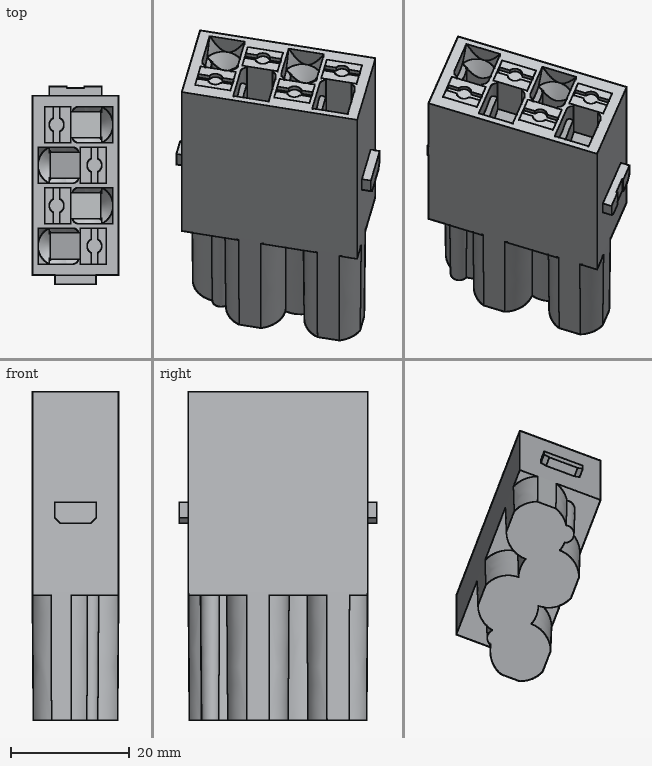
import cadquery as cq
import math

height = 55.45
body_x = 14.6
body_y = 30.3
shoulder_z = 21.6
plate_thickness = 0.55
draft_inset = 0.15

tab_reach = 1.55
tab_bottom_z = 33.2
tab_height = 3.6
tab_chamfer = 0.95
front_tab_width = 7.0
rear_tab_width = 8.85
notch_width = 2.9
notch_depth = 0.2

contact_count = 4
entry_pitch = 6.8
finger_pitch = 6.75

finger_radius = 5.25
finger_offset_x = 2.4
key_radius = 1.65
key_offset_x = 4.65
key_offset_y = {0: -1.3, contact_count - 1: -0.7}

entry_outer_x = 6.3
entry_inner_x = -0.55
entry_half_width = 3.05
entry_depth = 3.25
entry_corner_radius = 1.1
mouth_radius = 3.4
mouth_x = entry_outer_x - mouth_radius
funnel_half_angle = 40.0
chute_half_width = 2.2
chute_outer_x = 4.25

actuator_inner_x = -0.85
actuator_width = 4.4
actuator_length = 10.55
actuator_x = actuator_inner_x - actuator_width / 2
slot_offset_x = -0.15
slot_width = 1.1
slot_eye_diameter = 2.5
slot_depth = 0.85

leaf_angle = 26.0
leaf_thickness = 0.55
leaf_tip_depth = 10.55

entry_floor_z = height - entry_depth
corner_radius_at_top = math.hypot(mouth_radius, entry_half_width)
funnel_slope = 1 / math.tan(math.radians(funnel_half_angle))
funnel_tip_radius = chute_outer_x - mouth_x
funnel_depth = (mouth_radius - funnel_tip_radius) * funnel_slope
ramp_depth = (entry_half_width - chute_half_width) * funnel_slope
ramp_outer_x = mouth_x + math.sqrt(mouth_radius**2 - entry_half_width**2)
leaf_tip_z = height - leaf_tip_depth
leaf_root_z = leaf_tip_z + (chute_outer_x - actuator_inner_x) * math.tan(math.radians(leaf_angle))


def block(x_min, x_max, y_size, z_min, z_max):
    """Box centred on Y = 0."""
    return cq.Workplane("XY").box(x_max - x_min, y_size, z_max - z_min).translate(
        ((x_min + x_max) / 2, 0, (z_min + z_max) / 2)
    )


def cone(x, y, bottom_radius, top_radius, z_min, z_max):
    """Upright truncated cone."""
    return cq.Workplane(
        cq.Solid.makeCone(bottom_radius, top_radius, z_max - z_min, cq.Vector(x, y, z_min))
    )


def row_y(index, pitch):
    """Y of one place in a row of contacts that is centred on the part."""
    return (index - (contact_count - 1) / 2) * pitch


def contact_side(index):
    """+1 where the wire entry is on the +X side, -1 where it is on the -X side."""
    return 1 if index % 2 else -1


def placed(cell_shape, index):
    """A cell shape moved to its contact position and turned to the correct side."""
    turn = 0 if contact_side(index) > 0 else 180
    return cell_shape.rotate((0, 0, 0), (0, 0, 1), turn).translate((0, row_y(index, entry_pitch), 0))


def entry_prism(z_min, z_max):
    """Full outline of the wire entry, rounded at its two inner corners."""
    return (
        block(entry_inner_x, entry_outer_x, 2 * entry_half_width, z_min, z_max)
        .edges("|Z and <X")
        .fillet(entry_corner_radius)
    )


def entry_pocket():
    """Square-mouthed pocket whose outer corners close in conically to the round mouth."""
    corner_cone = cone(mouth_x, 0, mouth_radius, corner_radius_at_top, entry_floor_z, height)
    inner_part = block(entry_inner_x, mouth_x, 2 * entry_half_width, entry_floor_z, height)
    return entry_prism(entry_floor_z, height).intersect(corner_cone.union(inner_part))


def funnel():
    """Cone below the round mouth, with flat ramps along its two sides."""
    funnel_floor_z = entry_floor_z - funnel_depth
    round_part = cone(mouth_x, 0, funnel_tip_radius, mouth_radius, funnel_floor_z, entry_floor_z)
    ramps = (
        cq.Workplane("YZ", origin=(entry_inner_x, 0, 0))
        .moveTo(-entry_half_width, entry_floor_z)
        .lineTo(entry_half_width, entry_floor_z)
        .lineTo(chute_half_width, entry_floor_z - ramp_depth)
        .lineTo(-chute_half_width, entry_floor_z - ramp_depth)
        .close()
        .extrude(ramp_outer_x - entry_inner_x)
    )
    return round_part.union(ramps).intersect(entry_prism(funnel_floor_z, entry_floor_z))


def chute_prism(root_top_z, tip_top_z):
    """Prism across the chute, from the given top edges down to the underside of the leaf."""
    return (
        cq.Workplane("XZ")
        .moveTo(actuator_inner_x, root_top_z)
        .lineTo(chute_outer_x, tip_top_z)
        .lineTo(chute_outer_x, leaf_tip_z - leaf_thickness)
        .lineTo(actuator_inner_x, leaf_root_z - leaf_thickness)
        .close()
        .extrude(chute_half_width, both=True)
    )


def chute():
    """Passage to the leaf: full length below the entry, and a gap beside the actuator above."""
    gap = block(actuator_inner_x, 0, 2 * chute_half_width, entry_floor_z, height)
    return chute_prism(entry_floor_z, entry_floor_z).union(gap)


def actuator_blank():
    """Plain block that fills the actuator's slot in the housing."""
    return block(
        actuator_inner_x - actuator_width, actuator_inner_x, 2 * entry_half_width,
        height - actuator_length, height,
    )


def tab(width):
    """Latch tab on the +Y end face, with its two lower corners chamfered."""
    return (
        cq.Workplane("XY")
        .box(width, tab_reach, tab_height)
        .edges("|Y and <Z")
        .chamfer(tab_chamfer)
        .translate((0, (body_y + tab_reach) / 2, tab_bottom_z + tab_height / 2))
    )


def rear_tab():
    """Wider tab with a shallow notch in its outer face."""
    notch = cq.Workplane("XY").box(notch_width, 2 * notch_depth, tab_height).translate(
        (0, body_y / 2 + tab_reach, tab_bottom_z + tab_height / 2)
    )
    return tab(rear_tab_width).cut(notch)


def front_tab():
    """Narrower tab on the -Y end face."""
    return tab(front_tab_width).mirror("XZ")


def fingers():
    """Staggered round fingers merged in one row, drafted and cut flat at the body's sides."""
    envelope = (
        cq.Workplane("XY", origin=(0, 0, shoulder_z))
        .rect(body_x, body_y)
        .workplane(offset=-shoulder_z)
        .rect(body_x - 2 * draft_inset, body_y - 2 * draft_inset)
        .loft(ruled=True)
    )
    columns = block(-body_x / 2, body_x / 2, body_y, shoulder_z - plate_thickness, shoulder_z)
    for index in range(contact_count):
        x = contact_side(index) * finger_offset_x
        y = row_y(index, finger_pitch)
        columns = columns.union(
            cone(x, y, finger_radius - draft_inset, finger_radius, 0, shoulder_z)
        )
    for index, offset_y in key_offset_y.items():
        x = contact_side(index) * (finger_offset_x - key_offset_x)
        y = row_y(index, finger_pitch) + offset_y
        columns = columns.union(cone(x, y, key_radius - draft_inset, key_radius, 0, shoulder_z))
    return columns.intersect(envelope)


def make_housing():
    """Body with tabs and fingers, hollowed for the actuators, springs and wires."""
    shell = block(-body_x / 2, body_x / 2, body_y, shoulder_z, height)
    shell = shell.union(front_tab()).union(rear_tab()).union(fingers())
    for index in range(contact_count):
        for hollow in (entry_pocket(), funnel(), chute(), actuator_blank()):
            shell = shell.cut(placed(hollow, index))
    return shell


def make_actuator(index):
    """Release button with a screwdriver slot that widens to a round eye in the middle."""
    slot_x = actuator_x + slot_offset_x
    slot = block(
        slot_x - slot_width / 2, slot_x + slot_width / 2, 2 * entry_half_width,
        height - slot_depth, height,
    )
    eye = (
        cq.Workplane("XY", origin=(slot_x, 0, height - slot_depth))
        .circle(slot_eye_diameter / 2)
        .extrude(slot_depth)
    )
    return placed(actuator_blank().cut(slot).cut(eye), index)


def make_spring(index):
    """Sloping leaf at the bottom of the chute, falling away from the actuator."""
    return placed(chute_prism(leaf_root_z, leaf_tip_z), index)


housing = make_housing()
actuators = [make_actuator(index) for index in range(contact_count)]
springs = [make_spring(index) for index in range(contact_count)]

result = cq.Compound.makeCompound(
    [housing.val(), *[a.val() for a in actuators], *[s.val() for s in springs]]
)